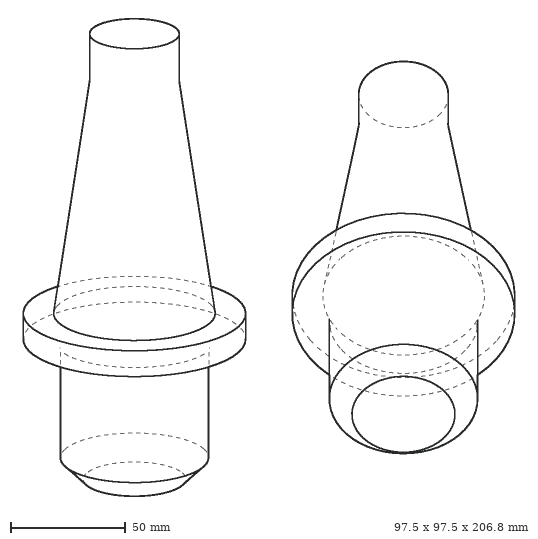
import cadquery as cq

total_height = 206.8
body_diameter = 65.0
flange_diameter = 97.5
pilot_diameter = 39.3
taper_base_diameter = 70.7
chamfer = 10.0
fillet_radius = 5.0
flange_bottom = 65.0
flange_thickness = 12.0
pilot_length = 22.1

body_radius = body_diameter / 2
flange_radius = flange_diameter / 2
pilot_radius = pilot_diameter / 2
taper_base_radius = taper_base_diameter / 2
flange_top = flange_bottom + flange_thickness
pilot_bottom = total_height - pilot_length


def make_body():
    """Lower cylinder with a chamfered end and a concave fillet under the flange."""
    return (
        cq.Workplane("XZ")
        .lineTo(body_radius - chamfer, 0)
        .lineTo(body_radius, chamfer)
        .lineTo(body_radius, flange_bottom - fillet_radius)
        .radiusArc((body_radius + fillet_radius, flange_bottom), fillet_radius)
        .lineTo(0, flange_bottom)
        .close()
        .revolve(360, (0, 0, 0), (0, 1, 0))
    )


def make_flange():
    """Flat round collar between the body and the taper."""
    return cq.Workplane("XY").workplane(offset=flange_bottom).circle(flange_radius).extrude(flange_thickness)


def make_taper_and_pilot():
    """Tapered shank ending in a short cylindrical pilot."""
    return (
        cq.Workplane("XZ")
        .moveTo(0, flange_top)
        .lineTo(taper_base_radius, flange_top)
        .lineTo(pilot_radius, pilot_bottom)
        .lineTo(pilot_radius, total_height)
        .lineTo(0, total_height)
        .close()
        .revolve(360, (0, 0, 0), (0, 1, 0))
    )


result = make_body().union(make_flange()).union(make_taper_and_pilot())